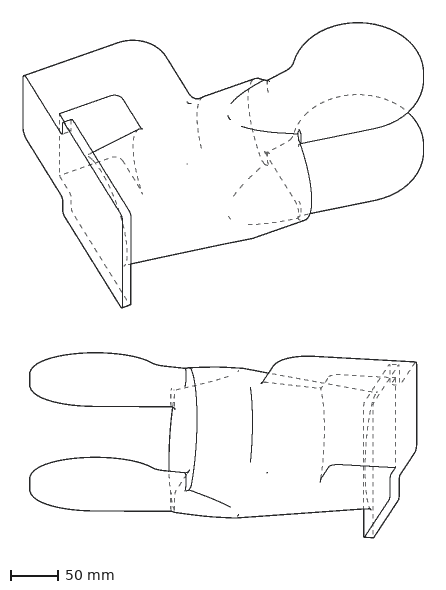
import cadquery as cq
import math

total_length = 387.0
total_width = 255.0

plate_side = 150.0
plate_thickness = 10.0

foot_diameter = 120.0
body_diameter = 160.0
cone_length = 160.0
rim_y = 220.0
body_radius = body_diameter / 2

arm_height = 100.0
arm_outer_y = 150.0
slot_end_y = 80.0
arm_wall = 70.0
arm_corner_radius = 40.0
arm_reach = total_width - body_radius

paddle_outer_z = 68.0
paddle_thickness = 20.0
paddle_radius = 70.0
paddle_center_x = -12.5
paddle_center_y = total_length - paddle_radius
paddle_blend_radius = 20.0
neck_half_width = math.sqrt(body_radius**2 - paddle_outer_z**2)

small_round = 5.0
large_round = 10.0


def make_plate():
    """Square plate with rounded corners."""
    return (
        cq.Workplane("XZ")
        .rect(plate_side, plate_side)
        .extrude(-plate_thickness)
        .edges("|Y")
        .fillet(small_round)
    )


def make_cone(length):
    """Cone about the Y axis that keeps its taper for any length."""
    taper = (body_diameter - foot_diameter) / 2 / cone_length
    profile = [
        (0, 0),
        (0, foot_diameter / 2),
        (length, foot_diameter / 2 + taper * length),
        (length, 0),
    ]
    return cq.Workplane("YZ").polyline(profile).close().revolve(360, (0, 0, 0), (1, 0, 0))


def make_arm():
    """L-shaped block whose free end reaches the mounting face and whose other end enters the cone."""
    outline = [
        (-arm_reach, 0),
        (-arm_reach, arm_outer_y),
        (0, arm_outer_y),
        (0, slot_end_y),
        (arm_wall - arm_reach, slot_end_y),
        (arm_wall - arm_reach, plate_thickness),
        (0, plate_thickness),
        (0, 0),
    ]
    arm = cq.Workplane("XY").polyline(outline).close().extrude(arm_height / 2, both=True)
    arm = arm.edges(cq.NearestToPointSelector((-arm_reach, arm_outer_y, 0))).fillet(arm_corner_radius)
    arm = arm.edges(cq.NearestToPointSelector((arm_wall - arm_reach, slot_end_y, 0))).fillet(large_round)
    long_side_middle_y = (arm_outer_y - arm_corner_radius) / 2
    for z in (-arm_height / 2, arm_height / 2):
        arm = arm.edges(cq.NearestToPointSelector((-arm_reach, long_side_middle_y, z))).fillet(large_round)
    return arm


def make_cone_with_arm():
    """Cone and arm joined by a rolled blend.

    The blend needs cone surface beyond the shoulder, so the cone is made as long as the body and trimmed after.
    """
    joined = make_cone(rim_y).union(make_arm())
    seam_middle = (-body_radius, arm_outer_y, 0)
    joined = joined.edges(cq.NearestToPointSelector(seam_middle)).fillet(large_round)
    trim = cq.Workplane("XZ", origin=(0, cone_length, 0)).rect(total_length, total_length).extrude(-rim_y)
    return joined.cut(trim)


def make_barrel():
    """Cylinder from the shoulder to the rim, cut by a sloping flat above and below."""
    barrel = cq.Workplane("XZ", origin=(0, cone_length, 0)).circle(body_radius).extrude(cone_length - rim_y)
    side_profile = [
        (cone_length, -body_radius),
        (rim_y, -paddle_outer_z),
        (rim_y, paddle_outer_z),
        (cone_length, body_radius),
    ]
    side = cq.Workplane("YZ").polyline(side_profile).close().extrude(body_radius, both=True)
    return barrel.intersect(side)


def make_paddle():
    """Upper paddle: a disc on a flared neck, tangent on +X and blended on -X."""
    base_dx = neck_half_width - paddle_center_x
    base_dy = paddle_center_y - rim_y
    to_center = math.atan2(base_dy, -base_dx)
    tangent_angle = to_center - math.asin(paddle_radius / math.hypot(base_dx, base_dy))
    flank_length = math.sqrt(base_dx**2 + base_dy**2 - paddle_radius**2)
    flare = flank_length * math.cos(tangent_angle)
    flank_y = rim_y + flank_length * math.sin(tangent_angle)
    neck_outline = [
        (-neck_half_width, rim_y),
        (neck_half_width, rim_y),
        (neck_half_width + flare, flank_y),
        (paddle_center_x, paddle_center_y),
        (-neck_half_width - flare, flank_y),
    ]
    bottom = cq.Workplane("XY").workplane(offset=paddle_outer_z - paddle_thickness)
    disc = bottom.center(paddle_center_x, paddle_center_y).circle(paddle_radius).extrude(paddle_thickness)
    neck = bottom.polyline(neck_outline).close().extrude(paddle_thickness)
    paddle = disc.union(neck)
    inner_corner = (-neck_half_width - flare / 2, (rim_y + flank_y) / 2, paddle_outer_z - paddle_thickness / 2)
    paddle = paddle.edges("|Z").edges(cq.NearestToPointSelector(inner_corner)).fillet(paddle_blend_radius)
    for z in (paddle_outer_z - paddle_thickness, paddle_outer_z):
        paddle = paddle.edges(cq.NearestToPointSelector((paddle_center_x, total_length, z))).fillet(small_round)
    return paddle


def make_paddle_foot(paddle):
    """Concave blend between the upper paddle and the rim, kept inside the rim outline."""
    slab_size = 2 * body_diameter
    rim_plane = cq.Workplane("XZ", origin=(0, rim_y, 0))
    slab = rim_plane.rect(slab_size, slab_size).extrude(small_round)
    seam_zone = cq.selectors.BoxSelector(
        (-body_radius, rim_y - small_round / 2, 0),
        (body_radius, rim_y + small_round / 2, body_radius),
    )
    blended = slab.union(paddle).edges(seam_zone).fillet(small_round)
    inside_rim = rim_plane.circle(body_radius).extrude(-small_round)
    inside_flats = rim_plane.rect(body_diameter, 2 * paddle_outer_z).extrude(-small_round)
    return blended.intersect(inside_rim).intersect(inside_flats)


def make_plate_with_body():
    """Plate, cone, arm and barrel, with the plate blended into the cone foot and the arm."""
    joined = make_cone_with_arm().union(make_barrel()).union(make_plate())
    foot_circle = cq.NearestToPointSelector((0, plate_thickness, 0))
    joined = joined.edges(foot_circle).fillet(small_round)
    for z in (-arm_height / 2, arm_height / 2):
        corner = cq.NearestToPointSelector((-plate_side / 2, plate_thickness / 2, z))
        joined = joined.edges("|Y").edges(corner).fillet(small_round)
    return joined


upper_paddle = make_paddle()
upper_paddle = upper_paddle.union(make_paddle_foot(upper_paddle))
result = make_plate_with_body().union(upper_paddle).union(upper_paddle.mirror("XY"))